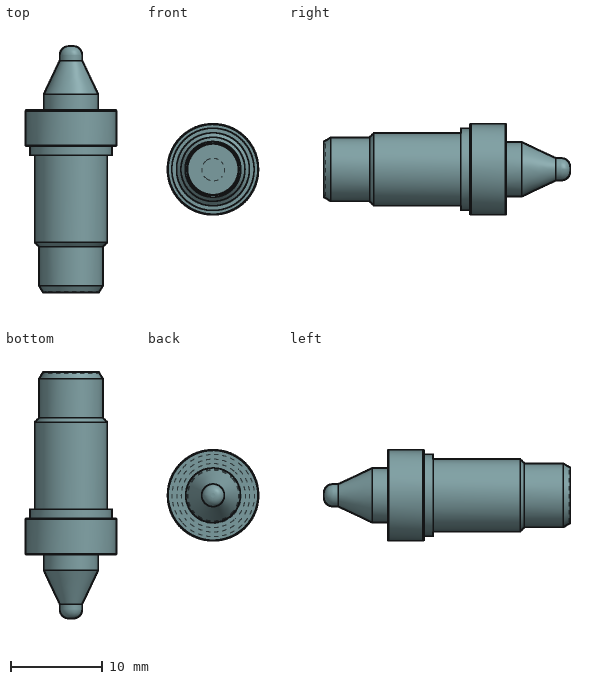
import cadquery as cq

length = 27.0
shank_end = -length / 2
tip = length / 2

nose_radius = 1.25
neck_radius = 3.0
collar_radius = 5.0
shoulder_radius = 4.5
shank_radius = 4.0
tail_radius = 3.5

nose_length = 1.6
taper_length = 3.7
neck_length = 1.7
collar_length = 4.0
shoulder_length = 1.0
shank_length = 10.0

nose_round = 1.0
collar_chamfer_length = 0.14
collar_chamfer_depth = 0.08
step_chamfer = 0.49
tail_chamfer_length = 0.75
tail_chamfer_depth = 0.45

groove_rim_radius = tail_radius - tail_chamfer_depth
groove_bottom_radius = 2.85
groove_depth = 0.15
face_disc_radius = 2.78

taper_start = tip - nose_length
taper_end = taper_start - taper_length
collar_front = taper_end - neck_length
collar_back = collar_front - collar_length
shoulder_back = collar_back - shoulder_length
shank_back = shoulder_back - shank_length


def turned_body():
    """Revolve the (radius, Y) half outline about the Y axis."""
    tip_flat = nose_radius - nose_round
    round_mid_offset = nose_round * 0.5**0.5
    outline = (
        cq.Workplane("XY")
        .moveTo(0, tip)
        .lineTo(tip_flat, tip)
        .threePointArc(
            (tip_flat + round_mid_offset, tip - nose_round + round_mid_offset),
            (nose_radius, tip - nose_round),
        )
        .lineTo(nose_radius, taper_start)
        .lineTo(neck_radius, taper_end)
        .lineTo(neck_radius, collar_front)
        .lineTo(collar_radius - collar_chamfer_depth, collar_front)
        .lineTo(collar_radius, collar_front - collar_chamfer_length)
        .lineTo(collar_radius, collar_back + collar_chamfer_length)
        .lineTo(collar_radius - collar_chamfer_depth, collar_back)
        .lineTo(shoulder_radius, collar_back)
        .lineTo(shoulder_radius, shoulder_back)
        .lineTo(shank_radius, shoulder_back)
        .lineTo(shank_radius, shank_back + step_chamfer)
        .lineTo(tail_radius, shank_back)
        .lineTo(tail_radius, shank_end + tail_chamfer_length)
        .lineTo(groove_rim_radius, shank_end)
        .lineTo(groove_bottom_radius, shank_end + groove_depth)
        .lineTo(face_disc_radius, shank_end + groove_depth)
        .lineTo(face_disc_radius, shank_end)
        .lineTo(0, shank_end)
        .close()
    )
    return outline.revolve(360, (0, 0, 0), (0, 1, 0))


result = turned_body()